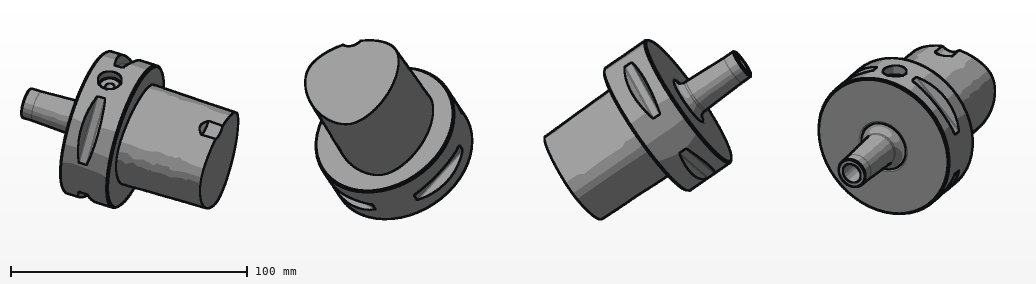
import cadquery as cq
import math

cutter_overrun = 0.9

total_length = 88.0
pin_land_end = 4.9
pin_taper_end = 24.0
pin_fillet_start = 25.0
flange_front = 28.0
flange_back = 50.0

pin_tip_radius = 13.0 / 2
pin_root_radius = 14.8 / 2
pin_tip_chamfer = 0.35
pin_bore_diameter = 8.5
pin_bore_depth = 17.6
root_fillet = 3.3
undercut_outer_radius = 11.6

flange_radius = 63.0 / 2
flange_chamfer = 0.6

groove_centre = 38.0
groove_floor_distance = 27.9
groove_floor_width = 3.6
groove_floor_fillet = 0.4
groove_side_angle = 30.0
groove_count = 4
groove_first_angle = 45.0

socket_diameter = 10.0
socket_floor_height = 26.9
socket_floor_bevel = 0.3
dimple_diameter = 4.0
drill_point_angle = 118.0

shank_mean_radius = 22.1
shank_end_radius = 21.2
lobe_height = 1.4
lobe_curve_points = 48

notch_radius = 5.8
notch_axis_height = 23.8
notch_straight_length = 6.6


def make_turned_body():
    """Pin, undercut root fillet and flange as one revolved profile."""
    fillet_bottom_x = pin_fillet_start + root_fillet
    fillet_centre_radius = pin_root_radius + root_fillet
    fillet_mid = root_fillet * math.sqrt(0.5)
    profile = (
        cq.Workplane("XY")
        .moveTo(0, 0)
        .lineTo(0, pin_tip_radius - pin_tip_chamfer)
        .lineTo(pin_tip_chamfer, pin_tip_radius)
        .lineTo(pin_land_end, pin_tip_radius)
        .lineTo(pin_taper_end, pin_root_radius)
        .lineTo(pin_fillet_start, pin_root_radius)
        .threePointArc(
            (pin_fillet_start + fillet_mid, fillet_centre_radius - fillet_mid),
            (fillet_bottom_x, fillet_centre_radius),
        )
        .lineTo(flange_front, undercut_outer_radius)
        .lineTo(flange_front, flange_radius - flange_chamfer)
        .lineTo(flange_front + flange_chamfer, flange_radius)
        .lineTo(flange_back - flange_chamfer, flange_radius)
        .lineTo(flange_back, flange_radius - flange_chamfer)
        .lineTo(flange_back, 0)
        .close()
    )
    return profile.revolve(360, (0, 0, 0), (1, 0, 0))


def lobed_point(mean_radius, turn):
    """Point (Y, Z) on a rounded triangle with one lobe pointing to -Z; turn runs from 0 to 1."""
    angle = 2 * math.pi * turn
    reach = mean_radius + lobe_height * math.cos(3 * angle)
    slope = -3 * lobe_height * math.sin(3 * angle)
    down = reach * math.cos(angle) - slope * math.sin(angle)
    side = reach * math.sin(angle) + slope * math.cos(angle)
    return side, -down


def lobed_wire(x, mean_radius):
    points = []
    for index in range(lobe_curve_points):
        side, height = lobed_point(mean_radius, index / lobe_curve_points)
        points.append(cq.Vector(x, side, height))
    return cq.Wire.assembleEdges([cq.Edge.makeSpline(points, periodic=True)])


def make_shank():
    front = lobed_wire(flange_back, shank_mean_radius)
    back = lobed_wire(total_length, shank_end_radius)
    return cq.Workplane(cq.Solid.makeLoft([front, back], True))


def make_groove_cutter(angle):
    height = flange_radius - groove_floor_distance + cutter_overrun
    half_floor = groove_floor_width / 2
    half_top = half_floor + height * math.tan(math.radians(groove_side_angle))
    top = groove_floor_distance + height
    return (
        cq.Workplane("XZ")
        .polyline([
            (groove_centre - half_floor, groove_floor_distance),
            (groove_centre + half_floor, groove_floor_distance),
            (groove_centre + half_top, top),
            (groove_centre - half_top, top),
        ])
        .close()
        .extrude(flange_radius, both=True)
        .faces("<Z")
        .edges("|Y")
        .fillet(groove_floor_fillet)
        .rotate((0, 0, 0), (1, 0, 0), angle)
    )


def make_socket_cutter():
    """Flat-floored socket with a bevelled floor edge and a conical drill dimple."""
    socket_radius = socket_diameter / 2
    dimple_radius = dimple_diameter / 2
    dimple_depth = dimple_radius / math.tan(math.radians(drill_point_angle / 2))
    return (
        cq.Workplane("XZ", origin=(groove_centre, 0, 0))
        .polyline([
            (0, socket_floor_height - dimple_depth),
            (dimple_radius, socket_floor_height),
            (socket_radius - socket_floor_bevel, socket_floor_height),
            (socket_radius, socket_floor_height + socket_floor_bevel),
            (socket_radius, flange_radius + cutter_overrun),
            (0, flange_radius + cutter_overrun),
        ])
        .close()
        .revolve(360, (0, 0, 0), (0, 1, 0))
    )


def make_notch_cutter():
    """Round-bottomed axial notch ending in a 45 degree cone."""
    notch_start = total_length - notch_straight_length
    return (
        cq.Workplane("XZ", origin=(0, 0, notch_axis_height))
        .polyline([
            (notch_start - notch_radius, 0),
            (notch_start, notch_radius),
            (total_length + cutter_overrun, notch_radius),
            (total_length + cutter_overrun, 0),
        ])
        .close()
        .revolve(360, (0, 0, 0), (1, 0, 0))
    )


pin_bore = cq.Workplane("YZ").circle(pin_bore_diameter / 2).extrude(pin_bore_depth)

result = make_turned_body().union(make_shank()).cut(pin_bore)
for index in range(groove_count):
    result = result.cut(make_groove_cutter(groove_first_angle + index * 360 / groove_count))
result = result.cut(make_socket_cutter()).cut(make_notch_cutter())